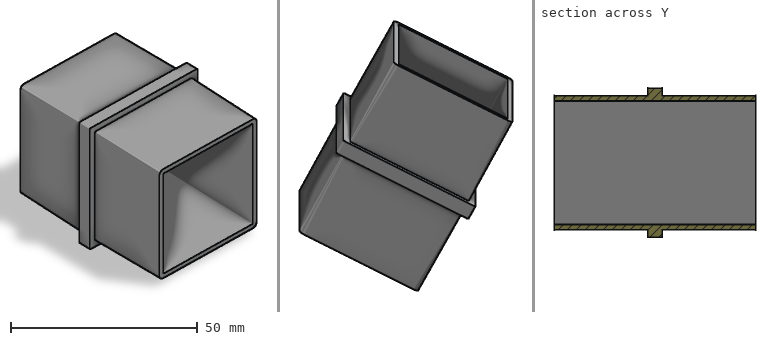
import cadquery as cq

length = 54.0
collar_width = 40.0
collar_thickness = 4.0
collar_corner_radius = 0.5

sleeve_width = 36.0
sleeve_end_radius = 1.5
sleeve_root_radius = 0.5
wall = 1.5

bore_width = sleeve_width - 2 * wall
bore_corner_radius = 0.25

sleeve_length = (length - collar_thickness) / 2


def rounded_square(width, radius):
    """Centred square sketch with rounded corners."""
    return cq.Sketch().rect(width, width).vertices().fillet(radius)


def square_bar(width, radius, bar_length):
    """Square bar along X, centred on the origin, with rounded long edges."""
    profile = rounded_square(width, radius)
    return cq.Workplane("YZ", origin=(-bar_length / 2, 0, 0)).placeSketch(profile).extrude(bar_length)


def sleeve():
    """Sleeve on the +X side whose corner radius grows from the collar to the free end."""
    root = rounded_square(sleeve_width, sleeve_root_radius)
    end = rounded_square(sleeve_width, sleeve_end_radius).moved(cq.Location(cq.Vector(0, 0, sleeve_length)))
    return cq.Workplane("YZ", origin=(collar_thickness / 2, 0, 0)).placeSketch(root, end).loft()


right_sleeve = sleeve()
left_sleeve = right_sleeve.mirror("YZ")
collar = square_bar(collar_width, collar_corner_radius, collar_thickness)
bore = square_bar(bore_width, bore_corner_radius, length)

result = collar.union(right_sleeve).union(left_sleeve).cut(bore)